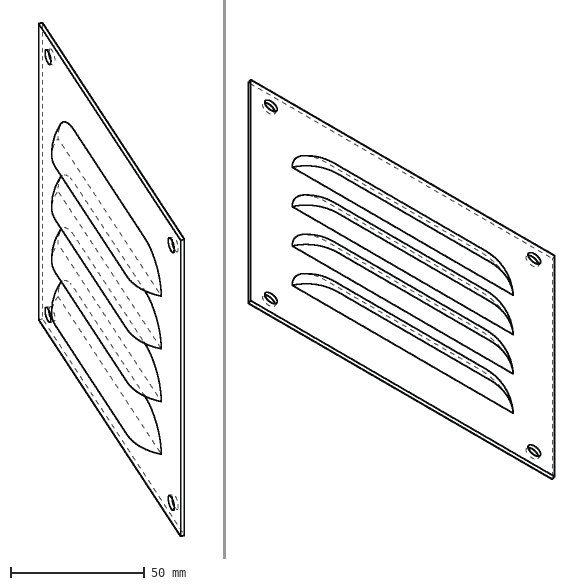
import cadquery as cq

plate_width = 139.7
plate_height = 142.9
plate_thickness = 1.6

hole_diameter = 5.7
hole_inset = 9.3

louver_count = 4
louver_pitch = 25.5
top_louver_base = 30.3
louver_straight = 70.0
louver_rise = 15.9
louver_depth = 7.5

dome_radius = (louver_rise**2 + louver_depth**2) / (2 * louver_depth)
dome_center_y = dome_radius - louver_depth


def make_plate():
    plate = cq.Workplane("XY").box(
        plate_width, plate_thickness, plate_height, centered=(True, False, True)
    )
    holes = (
        cq.Workplane("XZ")
        .rect(plate_width - 2 * hole_inset, plate_height - 2 * hole_inset, forConstruction=True)
        .vertices()
        .circle(hole_diameter / 2)
        .extrude(-plate_thickness)
    )
    return plate.cut(holes)


def make_louver():
    """Solid louver centred on X, with its flat underside at Z = 0."""
    half_straight = louver_straight / 2
    straight = (
        cq.Workplane("YZ", origin=(-half_straight, 0, 0))
        .circle(dome_radius)
        .extrude(louver_straight)
        .translate((0, dome_center_y, 0))
    )
    louver = straight
    for x in (-half_straight, half_straight):
        end_dome = cq.Workplane("XY").sphere(dome_radius).translate((x, dome_center_y, 0))
        louver = louver.union(end_dome)

    keep_length = louver_straight + 2 * dome_radius
    keep = cq.Workplane("XY").box(
        keep_length, louver_depth, dome_radius, centered=(True, False, False)
    ).translate((0, -louver_depth, 0))
    return louver.intersect(keep)


result = make_plate()
louver = make_louver()
for index in range(louver_count):
    base_z = top_louver_base - index * louver_pitch
    result = result.union(louver.translate((0, 0, base_z)))